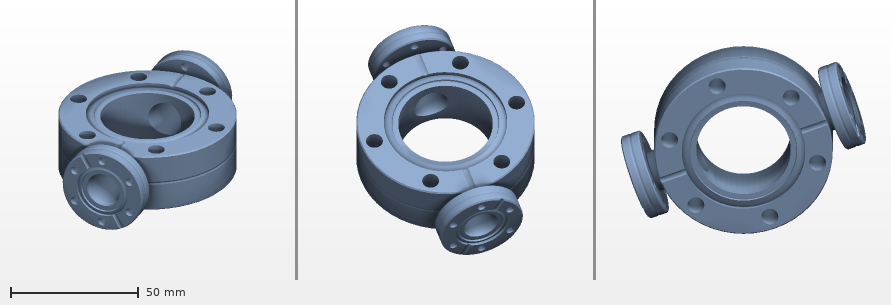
import cadquery as cq
import math

MAIN_DIAMETER = 69.9
MAIN_HEIGHT = 24.0
MAIN_BORE = 37.0
MAIN_RECESS_DIAMETER = 48.3
MAIN_KNIFE_DIAMETER = 42.0
MAIN_BOLT_CIRCLE = 58.7
MAIN_BOLT_HOLE = 6.6
MAIN_LEAK_WIDTH = 2.4
MAIN_LEAK_DEPTH = 0.5
MAIN_RIM_GROOVE_WIDTH = 1.3
MAIN_RIM_GROOVE_DEPTH = 0.2

PORT_SPAN = 90.0
PORT_DIAMETER = 34.0
PORT_THICKNESS = 7.6
PORT_BORE = 14.0
PORT_NECK_DIAMETER = 16.0
PORT_RECESS_DIAMETER = 21.4
PORT_KNIFE_DIAMETER = 18.3
PORT_BOLT_CIRCLE = 27.0
PORT_BOLT_HOLE = 3.3
PORT_LEAK_WIDTH = 2.2
PORT_LEAK_DEPTH = 0.6
PORT_TURN = 30.0
PORT_RIM_GROOVE_WIDTH = 1.5
PORT_RIM_GROOVE_DEPTH = 0.2

BOLT_COUNT = 6
EDGE_CHAMFER = 0.5
KNIFE_SETBACK = 0.6
KNIFE_SLOPE = 20.0
SEAT_DEPTH = 1.3
SEAT_INSET = 0.2
CUT_CLEARANCE = 1.0


def disc_blank(diameter, thickness, groove_width, groove_depth):
    """Chamfered disc below the XY plane with a V groove around the middle of its rim."""
    radius = diameter / 2
    middle = -thickness / 2
    disc = cq.Workplane("XY").circle(radius).extrude(-thickness).edges().chamfer(EDGE_CHAMFER)
    groove = (
        cq.Workplane("XZ")
        .moveTo(radius - groove_depth, middle)
        .lineTo(radius, middle + groove_width / 2)
        .lineTo(radius + CUT_CLEARANCE, middle + groove_width / 2)
        .lineTo(radius + CUT_CLEARANCE, middle - groove_width / 2)
        .lineTo(radius, middle - groove_width / 2)
        .close()
        .revolve(360, (0, 0, 0), (0, 1, 0))
    )
    return disc.cut(groove)


def knife_edge_recess(recess_diameter, knife_diameter):
    """Seal recess cut into the face at Z = 0, leaving a sloped knife edge around a flat seat."""
    recess_radius = recess_diameter / 2
    knife_radius = knife_diameter / 2
    knife_drop = (recess_radius - knife_radius) * math.tan(math.radians(KNIFE_SLOPE))
    return (
        cq.Workplane("XZ")
        .moveTo(0, CUT_CLEARANCE)
        .lineTo(recess_radius, CUT_CLEARANCE)
        .lineTo(recess_radius, -KNIFE_SETBACK - knife_drop)
        .lineTo(knife_radius, -KNIFE_SETBACK)
        .lineTo(knife_radius - SEAT_INSET, -SEAT_DEPTH)
        .lineTo(0, -SEAT_DEPTH)
        .close()
        .revolve(360, (0, 0, 0), (0, 1, 0))
    )


def leak_grooves(width, depth, length, recess_diameter):
    """Pair of opposite round-bottomed grooves along Y in the face at Z = 0."""
    half_width = width / 2
    groove_radius = (half_width**2 + depth**2) / (2 * depth)
    bar = (
        cq.Workplane("XZ")
        .center(0, groove_radius - depth)
        .circle(groove_radius)
        .extrude(length / 2, both=True)
    )
    seal_area = cq.Workplane("XY").circle(recess_diameter / 2).extrude(2 * groove_radius, both=True)
    return bar.cut(seal_area)


def bolt_holes(circle_diameter, hole_diameter, thickness):
    """Ring of through holes for a disc lying below Z = 0, the first one on +X."""
    return (
        cq.Workplane("XY")
        .polarArray(circle_diameter / 2, 0, 360, BOLT_COUNT)
        .circle(hole_diameter / 2)
        .extrude(-thickness)
    )


def main_flange():
    """Solid main flange centred on the origin, with both faces finished and no bores."""
    flange = disc_blank(MAIN_DIAMETER, MAIN_HEIGHT, MAIN_RIM_GROOVE_WIDTH, MAIN_RIM_GROOVE_DEPTH)
    flange = flange.cut(bolt_holes(MAIN_BOLT_CIRCLE, MAIN_BOLT_HOLE, MAIN_HEIGHT))
    flange = flange.translate((0, 0, MAIN_HEIGHT / 2))
    recess = knife_edge_recess(MAIN_RECESS_DIAMETER, MAIN_KNIFE_DIAMETER)
    leaks = leak_grooves(MAIN_LEAK_WIDTH, MAIN_LEAK_DEPTH, MAIN_DIAMETER, MAIN_RECESS_DIAMETER)
    for face_cut in (recess, leaks):
        upper_cut = face_cut.translate((0, 0, MAIN_HEIGHT / 2))
        flange = flange.cut(upper_cut).cut(upper_cut.mirror("XY"))
    return flange


def front_port():
    """Port on the -Y side: a small flange on a neck that reaches into the main flange wall."""
    port = disc_blank(PORT_DIAMETER, PORT_THICKNESS, PORT_RIM_GROOVE_WIDTH, PORT_RIM_GROOVE_DEPTH)
    port = port.cut(bolt_holes(PORT_BOLT_CIRCLE, PORT_BOLT_HOLE, PORT_THICKNESS))
    port = port.cut(knife_edge_recess(PORT_RECESS_DIAMETER, PORT_KNIFE_DIAMETER))
    port = port.cut(leak_grooves(PORT_LEAK_WIDTH, PORT_LEAK_DEPTH, PORT_DIAMETER, PORT_RECESS_DIAMETER))
    neck_length = (PORT_SPAN - MAIN_RECESS_DIAMETER) / 2 - PORT_THICKNESS
    neck = (
        cq.Workplane("XY")
        .workplane(offset=-PORT_THICKNESS)
        .circle(PORT_NECK_DIAMETER / 2)
        .extrude(-neck_length)
    )
    port = port.union(neck).rotate((0, 0, 0), (0, 0, 1), PORT_TURN)
    return port.rotate((0, 0, 0), (1, 0, 0), 90).translate((0, -PORT_SPAN / 2, 0))


port_body = front_port()
main_bore = cq.Workplane("XY", origin=(0, 0, -MAIN_HEIGHT / 2)).circle(MAIN_BORE / 2).extrude(MAIN_HEIGHT)
port_bore = cq.Workplane("XZ", origin=(0, PORT_SPAN / 2, 0)).circle(PORT_BORE / 2).extrude(PORT_SPAN)

result = main_flange().union(port_body).union(port_body.mirror("XZ")).cut(main_bore).cut(port_bore)